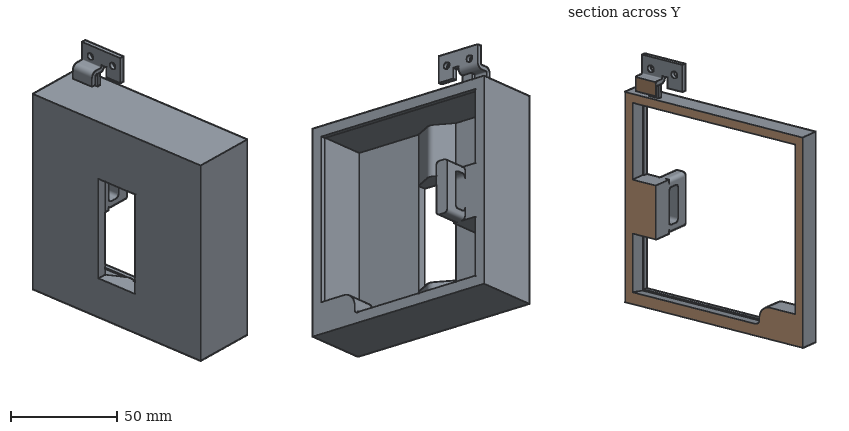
import cadquery as cq
WIDTH = 105.0
DEPTH = 33.5
HEIGHT = 105.4
WALL = 5.4
FRONT_PLATE = 4.7

WINDOW_LEFT = 41.2
WINDOW_BOTTOM = 21.1
WINDOW_WIDTH = 22.8
WINDOW_HEIGHT = 53.6

RIDGE_DEPTH = 10.7
RIDGE_RADIUS = 4.0

RIM_DEPTH = 2.5
RIM_LIP = 0.7
FLOOR_SLOPE = 0.19

PAD_LEFT = 79.2
PAD_TOP = 16.1
PAD_RADIUS = 6.6
PAD_DEPTH = 14.0
RIM_FOOT_RADIUS = 1.6
INNER_FOOT_RADIUS = RIM_FOOT_RADIUS + RIM_LIP

LUG_LEFT = 11.6
LUG_WIDTH = 6.8
LUG_BOTTOM = 35.3
LUG_HEIGHT = 27.2
LUG_LENGTH = 13.0
LUG_RADIUS = 2.0
SLOT_LENGTH = 7.0
SLOT_HEIGHT = 18.9
SLOT_RADIUS = 1.9

SHEET = 2.4
BEND_INNER = 0.5
BEND_OUTER = BEND_INNER + SHEET
BRACKET_LEFT = 6.4
BRACKET_BACK = 30.4
BRACKET_FRONT = 21.45
BRACKET_WIDTH = 24.0
BRACKET_TOP = HEIGHT + 18.6
HOOK_WIDTH = 12.0
HOOK_BOTTOM = HEIGHT + 1.5
STEP_BOTTOM = HEIGHT + 6.65
STEP_TOP = STEP_BOTTOM + SHEET
NOTCH_WIDTH = 3.1
NOTCH_TOP = HEIGHT + 10.4
LEG_BOTTOM = HEIGHT + 5.0
HOLE_DIAMETER = 3.4
HOLE_SPACING = 13.9
HOLE_INSET = 5.2
HOLE_HEIGHT = HEIGHT + 12.6

TAB_WIDTH = 6.0
TAB_BACK = 27.3
TAB_THICKNESS = 1.9
TAB_RADIUS = 0.8


def block(x0, x1, y0, y1, z0, z1):
    """Box between two opposite corners."""
    return cq.Workplane("XY").box(x1 - x0, y1 - y0, z1 - z0, centered=False).translate((x0, y0, z0))


def corner_pad():
    """Pad with its free corner rounded."""
    pad = block(PAD_LEFT, WIDTH, DEPTH - PAD_DEPTH, DEPTH, 0, PAD_TOP)
    return pad.edges("|Y and <X and >Z").fillet(PAD_RADIUS)


def round_pad_foot(space, middle_y, radius):
    """Round the inner corner where the pad's left side meets the floor of the space."""
    foot = cq.selectors.NearestToPointSelector((PAD_LEFT, middle_y, WALL))
    return space.edges(foot).fillet(radius)


def lug_root():
    """Block from the left wall that carries the lug."""
    return block(0, LUG_LEFT + LUG_WIDTH, 0, DEPTH, LUG_BOTTOM, LUG_BOTTOM + LUG_HEIGHT)


def rim_opening():
    opening = block(WALL, WIDTH - WALL, DEPTH - RIM_DEPTH, DEPTH, WALL, HEIGHT - WALL)
    return round_pad_foot(opening.cut(corner_pad()), DEPTH - RIM_DEPTH / 2, RIM_FOOT_RADIUS)


def inner_space():
    """Space between the front plate and the rim, over the sloping floor."""
    wall = WALL - RIM_LIP
    back = DEPTH - RIM_DEPTH
    front_floor = wall + FLOOR_SLOPE * (back - FRONT_PLATE)
    space = (
        cq.Workplane("YZ", origin=(wall, 0, 0))
        .polyline([
            (FRONT_PLATE, front_floor),
            (back, wall),
            (back, HEIGHT - wall),
            (FRONT_PLATE, HEIGHT - wall),
        ])
        .close()
        .extrude(WIDTH - 2 * wall)
    )
    return round_pad_foot(space.cut(corner_pad()), (DEPTH - PAD_DEPTH + back) / 2, INNER_FOOT_RADIUS)


def ridge():
    """Gable-shaped ridge on the inside of the front plate, running over the full height."""
    gable = (
        cq.Workplane("XY")
        .polyline([
            (WINDOW_LEFT, FRONT_PLATE),
            (WINDOW_LEFT + WINDOW_WIDTH / 2, RIDGE_DEPTH),
            (WINDOW_LEFT + WINDOW_WIDTH, FRONT_PLATE),
        ])
        .close()
        .extrude(HEIGHT)
    )
    return gable.edges("|Z and >Y").fillet(RIDGE_RADIUS)


def slotted_lug():
    lug = block(
        LUG_LEFT, LUG_LEFT + LUG_WIDTH, DEPTH, DEPTH + LUG_LENGTH, LUG_BOTTOM, LUG_BOTTOM + LUG_HEIGHT
    ).edges("|Y").fillet(LUG_RADIUS)
    slot_bottom = LUG_BOTTOM + (LUG_HEIGHT - SLOT_HEIGHT) / 2
    slot = block(
        LUG_LEFT, LUG_LEFT + LUG_WIDTH, DEPTH, DEPTH + SLOT_LENGTH, slot_bottom, slot_bottom + SLOT_HEIGHT
    ).edges("|X").fillet(SLOT_RADIUS)
    return lug.cut(slot)


def top_tab():
    right = BRACKET_LEFT + HOOK_WIDTH
    tab = block(right - TAB_WIDTH, right, TAB_BACK - TAB_THICKNESS, TAB_BACK, HEIGHT, STEP_BOTTOM)
    return tab.edges("|Y and >Z").fillet(TAB_RADIUS)


def make_housing():
    cavity = inner_space().union(rim_opening()).cut(lug_root()).cut(ridge())
    window = block(
        WINDOW_LEFT, WINDOW_LEFT + WINDOW_WIDTH, 0, DEPTH, WINDOW_BOTTOM, WINDOW_BOTTOM + WINDOW_HEIGHT
    )
    shell = block(0, WIDTH, 0, DEPTH, 0, HEIGHT).cut(cavity).cut(window)
    return shell.union(slotted_lug()).union(top_tab())


def bracket_plate():
    """Flat plate with a leg on the right, set apart from the hook by a notch."""
    leg_left = BRACKET_LEFT + HOOK_WIDTH + NOTCH_WIDTH
    right = BRACKET_LEFT + BRACKET_WIDTH
    front = BRACKET_BACK - SHEET
    plate = block(BRACKET_LEFT, right, front, BRACKET_BACK, NOTCH_TOP, BRACKET_TOP)
    leg = block(leg_left, right, front, BRACKET_BACK, LEG_BOTTOM, NOTCH_TOP)
    plate = plate.union(leg)
    for column in range(2):
        center_x = BRACKET_LEFT + HOLE_INSET + column * HOLE_SPACING
        hole = (
            cq.Workplane("XZ", origin=(center_x, BRACKET_BACK, HOLE_HEIGHT))
            .circle(HOLE_DIAMETER / 2)
            .extrude(SHEET)
        )
        plate = plate.cut(hole)
    return plate


def bracket_hook():
    """Z-bent strip: down from the plate, forward over the tab, then down again."""
    plate_front = BRACKET_BACK - SHEET
    hook_back = BRACKET_FRONT + SHEET
    return (
        cq.Workplane("YZ", origin=(BRACKET_LEFT, 0, 0))
        .moveTo(BRACKET_BACK, NOTCH_TOP)
        .lineTo(BRACKET_BACK, STEP_BOTTOM + BEND_OUTER)
        .radiusArc((BRACKET_BACK - BEND_OUTER, STEP_BOTTOM), BEND_OUTER)
        .lineTo(hook_back + BEND_INNER, STEP_BOTTOM)
        .radiusArc((hook_back, STEP_BOTTOM - BEND_INNER), -BEND_INNER)
        .lineTo(hook_back, HOOK_BOTTOM)
        .lineTo(BRACKET_FRONT, HOOK_BOTTOM)
        .lineTo(BRACKET_FRONT, STEP_TOP - BEND_OUTER)
        .radiusArc((BRACKET_FRONT + BEND_OUTER, STEP_TOP), BEND_OUTER)
        .lineTo(plate_front - BEND_INNER, STEP_TOP)
        .radiusArc((plate_front, STEP_TOP + BEND_INNER), -BEND_INNER)
        .lineTo(plate_front, NOTCH_TOP)
        .close()
        .extrude(HOOK_WIDTH)
    )


def make_bracket():
    return bracket_plate().union(bracket_hook())


housing = make_housing()
bracket = make_bracket()

result = cq.Compound.makeCompound([housing.val(), bracket.val()])